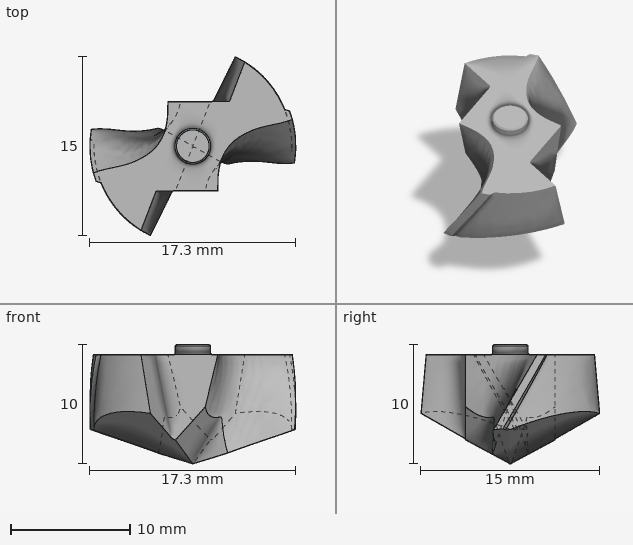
import math

import cadquery as cq


SEAT_HEIGHT = 9.17
MARGIN_RADIUS = 8.65
BODY_RADIUS = 8.31
HELIX_ANGLE = 30.3
BEYOND = 30.0

MARGIN_START_ANGLE = 15.0
MARGIN_END_ANGLE = 20.0
RELIEF_START_ANGLE = 21.8
HEEL_X = 2.1
HEEL_Y = 3.8
FLUTE_POINTS = [(2.2, -1.95), (2.47, -0.95), (3.19, 0.17), (4.14, 0.91), (5.66, 1.56), (7.0, 1.86)]

FLAT_Y = 3.75
WALL_X = 3.08
WALL_RUN_PER_Y = 0.384
WALL_RUN_PER_Z = 0.194
WALL_CORNER_RADIUS = 0.2

LIP_RISE = 0.347
PRIMARY_RELIEF = 0.07
SECONDARY_RELIEF = 0.4

GASH_HEEL_RISE_X = 1.107
GASH_HEEL_RISE_Y = -0.968
GASH_RAKE_SLOPE = -0.565
GASH_STRAIGHT_X = 2.09
GASH_BEND_RADIUS = 3.2
GASH_BEND_ANGLE = 20.0
GASH_ROOT_RADIUS = 0.25

PIN_RADIUS = 1.5
PIN_HEIGHT = 0.86
PIN_CHAMFER = 0.13
PIN_BASE_FILLET = 0.15
PIN_SUNK_DEPTH = 1.0


def polar(radius, degrees):
    angle = math.radians(degrees)
    return (radius * math.cos(angle), radius * math.sin(angle))


def opposite(points):
    return [(-x, -y) for x, y in points]


def half_turn(shape):
    return shape.rotate((0, 0, 0), (0, 0, 1), 180)


def block_behind_plane(origin, normal):
    plane = cq.Plane(origin=origin, normal=normal)
    return cq.Workplane(plane).rect(2 * BEYOND, 2 * BEYOND).extrude(-BEYOND)


def block_below_point_plane(rise_x, rise_y):
    return block_behind_plane((0, 0, 0), (-rise_x, -rise_y, 1))


def make_fluted_body():
    """Full cross-section drawn as at the seat face, twisted along the helix."""
    lip = polar(MARGIN_RADIUS, MARGIN_START_ANGLE)
    margin_middle = polar(MARGIN_RADIUS, (MARGIN_START_ANGLE + MARGIN_END_ANGLE) / 2)
    margin_end = polar(MARGIN_RADIUS, MARGIN_END_ANGLE)
    relief_start = polar(BODY_RADIUS, RELIEF_START_ANGLE)
    heel_angle = math.degrees(math.acos(-HEEL_X / BODY_RADIUS))
    relief_middle = polar(BODY_RADIUS, (RELIEF_START_ANGLE + heel_angle) / 2)
    relief_end = polar(BODY_RADIUS, heel_angle)
    heel = (-HEEL_X, HEEL_Y)
    flute = opposite(FLUTE_POINTS + [lip])

    outline = cq.Workplane("XY").moveTo(*lip)
    for side in (list, opposite):
        outline = outline.threePointArc(*side([margin_middle, margin_end]))
        outline = outline.lineTo(*side([relief_start])[0])
        outline = outline.threePointArc(*side([relief_middle, relief_end]))
        outline = outline.lineTo(*side([heel])[0])
        outline = outline.spline(side(flute), includeCurrent=True)

    twist_per_mm = math.tan(math.radians(HELIX_ANGLE)) / MARGIN_RADIUS
    twist = math.degrees(twist_per_mm * SEAT_HEIGHT)
    body = outline.close().twistExtrude(SEAT_HEIGHT, twist)
    return body.rotate((0, 0, 0), (0, 0, 1), -twist)


def make_drive_notch():
    """Space beside one flat, closed by the leaning drive wall with a rounded corner."""
    beside_flat = cq.Workplane("XY").box(2 * BEYOND, BEYOND, 2 * BEYOND, centered=(True, False, True))
    beside_flat = beside_flat.translate((0, FLAT_Y, 0))
    behind_wall = block_behind_plane((WALL_X, FLAT_Y, SEAT_HEIGHT), (1, -WALL_RUN_PER_Y, -WALL_RUN_PER_Z))
    corner = cq.selectors.NearestToPointSelector((WALL_X - WALL_RUN_PER_Z * SEAT_HEIGHT, FLAT_Y, 0))
    return beside_flat.intersect(behind_wall).edges(corner).fillet(WALL_CORNER_RADIUS)


def make_gash():
    """Space between an upright rake wall, bending outward to the flute, and a sloping heel plane."""
    rake_angle = math.degrees(math.atan(GASH_RAKE_SLOPE))
    start_x = -2 * GASH_STRAIGHT_X
    bend_start = (GASH_STRAIGHT_X, GASH_RAKE_SLOPE * GASH_STRAIGHT_X)
    offset = polar(GASH_BEND_RADIUS, rake_angle + 90)
    centre = (bend_start[0] + offset[0], bend_start[1] + offset[1])

    def on_bend(turn):
        x, y = polar(GASH_BEND_RADIUS, rake_angle - 90 + turn)
        return (centre[0] + x, centre[1] + y)

    prism = (
        cq.Workplane("XY")
        .workplane(offset=-BEYOND)
        .moveTo(start_x, GASH_RAKE_SLOPE * start_x)
        .lineTo(*bend_start)
        .threePointArc(on_bend(GASH_BEND_ANGLE / 2), on_bend(GASH_BEND_ANGLE))
        .lineTo(BEYOND, on_bend(GASH_BEND_ANGLE)[1])
        .lineTo(BEYOND, -BEYOND)
        .lineTo(start_x, -BEYOND)
        .close()
        .extrude(2 * BEYOND)
    )
    wedge = prism.intersect(block_below_point_plane(GASH_HEEL_RISE_X, GASH_HEEL_RISE_Y))
    root = cq.selectors.NearestToPointSelector((0, 0, 0))
    return wedge.edges(root).fillet(GASH_ROOT_RADIUS)


def make_pin():
    """Turned half-profile: base fillet, straight side, chamfered top."""
    top = SEAT_HEIGHT + PIN_HEIGHT
    fillet_centre = (PIN_RADIUS + PIN_BASE_FILLET, SEAT_HEIGHT + PIN_BASE_FILLET)
    toward_base_corner = 225
    fillet_offset = polar(PIN_BASE_FILLET, toward_base_corner)
    fillet_middle = (fillet_centre[0] + fillet_offset[0], fillet_centre[1] + fillet_offset[1])
    return (
        cq.Workplane("XZ")
        .moveTo(0, SEAT_HEIGHT - PIN_SUNK_DEPTH)
        .lineTo(fillet_centre[0], SEAT_HEIGHT - PIN_SUNK_DEPTH)
        .lineTo(fillet_centre[0], SEAT_HEIGHT)
        .threePointArc(fillet_middle, (PIN_RADIUS, fillet_centre[1]))
        .lineTo(PIN_RADIUS, top - PIN_CHAMFER)
        .lineTo(PIN_RADIUS - PIN_CHAMFER, top)
        .lineTo(0, top)
        .close()
        .revolve(360, (0, 0), (0, 1))
    )


notch = make_drive_notch()
gash = make_gash()
primary = block_below_point_plane(-LIP_RISE, -PRIMARY_RELIEF)
secondary = block_below_point_plane(-LIP_RISE, -SECONDARY_RELIEF)

result = make_fluted_body()
for cutter in (notch, primary, secondary, gash):
    result = result.cut(cutter).cut(half_turn(cutter))
result = result.union(make_pin())